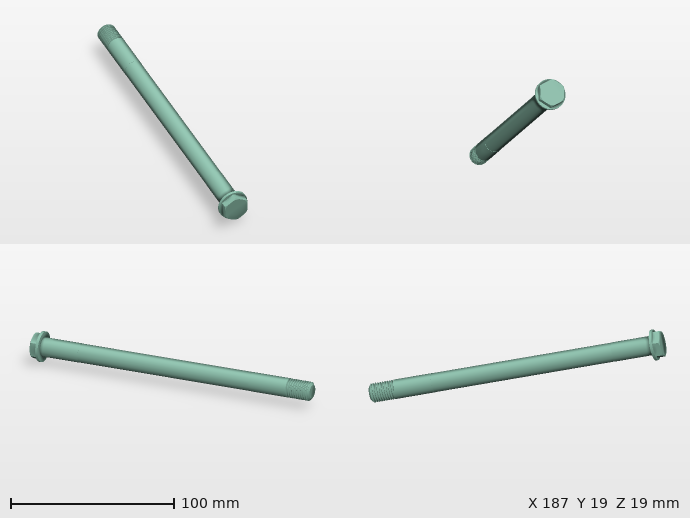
import cadquery as cq
import math

total_length = 187.0
shank_diameter = 12.0

flange_diameter = 19.0
flange_thickness = 1.7
hex_height = 4.5
hex_across_flats = 15.1
hex_across_corners = hex_across_flats / math.cos(math.pi / 6)
head_chamfer_length = 0.7
head_chamfer_depth = 1.0

relief_start = 40.2
relief_end = 155.5
relief_diameter = 11.8

tip_diameter = 8.6
tip_length = 1.3
thread_pitch = 1.5
thread_depth = 1.0
thread_start = 1.0
thread_end = 15.7
groove_half_width = 0.64
root_half_width = 0.2
cutter_overlap = 0.2

flange_start = total_length - hex_height - flange_thickness
flange_end = flange_start + flange_thickness


def axial_cylinder(start, end, diameter):
    """Cylinder on the bolt axis between two X positions."""
    return cq.Workplane("YZ", origin=(start, 0, 0)).circle(diameter / 2).extrude(end - start)


def make_shank():
    shank_radius = shank_diameter / 2
    relief_radius = relief_diameter / 2
    profile = [
        (0, 0),
        (0, tip_diameter / 2),
        (tip_length, shank_radius),
        (relief_start, shank_radius),
        (relief_start, relief_radius),
        (relief_end, relief_radius),
        (relief_end, shank_radius),
        (flange_start, shank_radius),
        (flange_start, 0),
    ]
    return cq.Workplane("XY").polyline(profile).close().revolve(360, (0, 0, 0), (1, 0, 0))


def make_hex_head():
    hexagon = (
        cq.Workplane("YZ", origin=(flange_end, 0, 0))
        .polygon(6, hex_across_corners)
        .extrude(hex_height)
        .rotate((0, 0, 0), (1, 0, 0), 90)
    )
    envelope = axial_cylinder(flange_end, total_length, hex_across_corners)
    envelope = envelope.faces(">X").chamfer(head_chamfer_length, head_chamfer_depth)
    return hexagon.intersect(envelope)


def make_thread_groove():
    """Right-hand helical V groove, with a narrow flat root, around the bolt axis."""
    shank_radius = shank_diameter / 2
    root_radius = shank_radius - thread_depth
    flank_slope = (groove_half_width - root_half_width) / thread_depth
    outer_radius = shank_radius + cutter_overlap
    outer_half_width = groove_half_width + flank_slope * cutter_overlap
    helix = cq.Wire.makeHelix(thread_pitch, thread_end - thread_start, root_radius)
    groove = (
        cq.Workplane("XZ")
        .polyline([
            (root_radius, -root_half_width),
            (outer_radius, -outer_half_width),
            (outer_radius, outer_half_width),
            (root_radius, root_half_width),
        ])
        .close()
        .sweep(cq.Workplane(obj=helix), isFrenet=True)
    )
    return groove.rotate((0, 0, 0), (0, 1, 0), 90).translate((thread_start, 0, 0))


flange = axial_cylinder(flange_start, flange_end, flange_diameter)
result = make_shank().union(flange).union(make_hex_head()).cut(make_thread_groove())